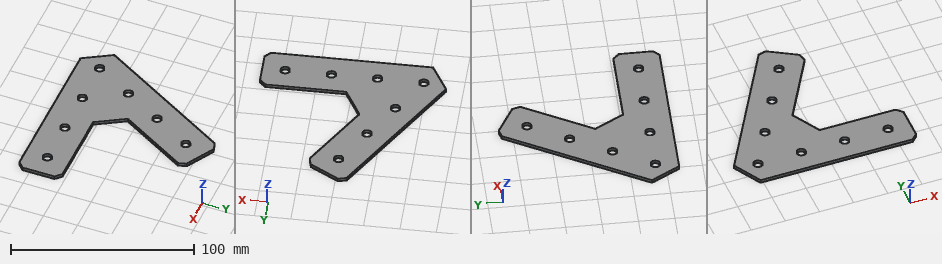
import cadquery as cq
import math

thickness = 2.0
arm_angle = 60.0
hole_pitch = 25.4
holes_per_arm = 4
hole_diameter = 5.2
arm_width = 25.4
end_chamfer = 3.4
inner_corner_x = 41.0

half_width = arm_width / 2
arm_end = (holes_per_arm - 1) * hole_pitch + half_width
outer_corner_x = -half_width * math.tan(math.radians(arm_angle / 4))


def mirror_across_bisector(point):
    """Carry a point of the straight arm to its twin on the angled arm."""
    x, y = point
    cosine = math.cos(math.radians(arm_angle))
    sine = math.sin(math.radians(arm_angle))
    return (x * cosine + y * sine, x * sine - y * cosine)


straight_arm = [
    (outer_corner_x, -half_width),
    (arm_end - end_chamfer, -half_width),
    (arm_end, -half_width + end_chamfer),
    (arm_end, half_width - end_chamfer),
    (arm_end - end_chamfer, half_width),
    (inner_corner_x, half_width),
]
angled_arm = [mirror_across_bisector(point) for point in reversed(straight_arm)]
plate = cq.Workplane("XY").polyline(straight_arm + angled_arm).close().extrude(thickness)

straight_holes = [(i * hole_pitch, 0) for i in range(holes_per_arm)]
angled_holes = [mirror_across_bisector(point) for point in straight_holes[1:]]
holes = (
    cq.Workplane("XY")
    .pushPoints(straight_holes + angled_holes)
    .circle(hole_diameter / 2)
    .extrude(thickness)
)

result = plate.cut(holes)